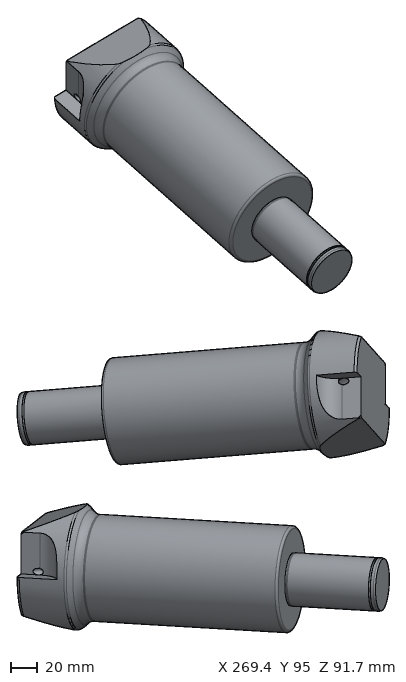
import cadquery as cq
import math

total_length = 269.38
rim_end = 37.5
neck_end = 49.9
body_start = 50.4
shank_length = 70
body_end = total_length - shank_length
undercut_end = 200.5
shank_start = 201.3
retaining_groove_start = 264.0
retaining_groove_end = 265.4

head_radius = 95 / 2
body_radius = 80 / 2
neck_radius = 79.8 / 2
shank_radius = 40 / 2
relief_radius = 39.5 / 2

rim_cone_angle = math.radians(45)
neck_blend_radius = 10.2
rim_round_radius = 2.4

front_chamfer_length = 2
front_chamfer_depth = 1.2
body_round_radius = 2
end_chamfer_length = 1.6
end_chamfer_depth = 0.5

flat_angle = math.radians(20)
flat_half_height = 31.57

pocket_wall_y = 35.2
pocket_straight_length = 14.8
pocket_corner_radius = 17

coolant_diameter = 5
coolant_x = 13.4
coolant_z = 2.5
coolant_angle = math.radians(38)
coolant_depth = 30


def turned_blank():
    """Head, neck, body and shank as one revolved profile."""
    blend_drop = neck_blend_radius * (1 - math.cos(rim_cone_angle))
    blend_run = neck_blend_radius * math.sin(rim_cone_angle)
    blend_start_radius = neck_radius + blend_drop
    blend_start = rim_end + (head_radius - blend_start_radius) / math.tan(rim_cone_angle)
    blend_end = blend_start + blend_run
    half_angle = rim_cone_angle / 2
    blend_mid = (
        blend_end - neck_blend_radius * math.sin(half_angle),
        neck_radius + neck_blend_radius * (1 - math.cos(half_angle)),
    )
    rim_round_start = rim_end - rim_round_radius * math.tan(half_angle)
    rim_round_center_radius = head_radius - rim_round_radius

    def rim_round_point(angle):
        return (
            rim_round_start + rim_round_radius * math.sin(angle),
            rim_round_center_radius + rim_round_radius * math.cos(angle),
        )

    rim_round_mid = rim_round_point(half_angle)
    rim_round_end = rim_round_point(rim_cone_angle)
    profile = (
        cq.Workplane("XY")
        .moveTo(0, 0)
        .lineTo(0, head_radius - front_chamfer_depth)
        .lineTo(front_chamfer_length, head_radius)
        .lineTo(rim_round_start, head_radius)
        .threePointArc(rim_round_mid, rim_round_end)
        .lineTo(blend_start, blend_start_radius)
        .threePointArc(blend_mid, (blend_end, neck_radius))
        .lineTo(neck_end, neck_radius)
        .lineTo(body_start, body_radius)
        .lineTo(body_end - body_round_radius, body_radius)
        .radiusArc((body_end, body_radius - body_round_radius), body_round_radius)
        .lineTo(body_end, relief_radius)
        .lineTo(undercut_end, relief_radius)
        .lineTo(shank_start, shank_radius)
        .lineTo(retaining_groove_start, shank_radius)
        .lineTo(retaining_groove_start, relief_radius)
        .lineTo(retaining_groove_end, relief_radius)
        .lineTo(retaining_groove_end, shank_radius)
        .lineTo(total_length - end_chamfer_length, shank_radius)
        .lineTo(total_length, shank_radius - end_chamfer_depth)
        .lineTo(total_length, 0)
        .close()
    )
    return profile.revolve(360, (0, 0, 0), (1, 0, 0))


def above_flat():
    """Wedge of material removed above the upper sloped flat."""
    reach = neck_end
    rise = reach * math.tan(flat_angle)
    wedge = (
        cq.Workplane("XZ")
        .moveTo(0, flat_half_height)
        .lineTo(reach, flat_half_height + rise)
        .lineTo(0, flat_half_height + rise)
        .close()
    )
    return wedge.extrude(head_radius, both=True)


def insert_pocket():
    """Upper half of the -Y side of the head, with a rounded inner end."""
    eighth_turn = math.radians(45)
    corner_center_y = -pocket_wall_y - pocket_corner_radius
    corner_mid = (
        pocket_straight_length + pocket_corner_radius * math.sin(eighth_turn),
        corner_center_y + pocket_corner_radius * math.cos(eighth_turn),
    )
    corner_end = (pocket_straight_length + pocket_corner_radius, corner_center_y)
    outline = (
        cq.Workplane("XY")
        .moveTo(0, -pocket_wall_y)
        .lineTo(pocket_straight_length, -pocket_wall_y)
        .threePointArc(corner_mid, corner_end)
        .lineTo(0, corner_center_y)
        .close()
    )
    return outline.extrude(head_radius)


def coolant_hole():
    """Slanted hole running inward and back from the pocket wall."""
    direction = cq.Vector(math.cos(coolant_angle), math.sin(coolant_angle), 0)
    mouth = cq.Vector(coolant_x, -pocket_wall_y, coolant_z)
    start = mouth - direction * coolant_diameter
    radius = coolant_diameter / 2
    hole = cq.Solid.makeCylinder(radius, coolant_depth + coolant_diameter, start, direction)
    return cq.Workplane(hole)


def opposite(shape):
    """Half-turn about the X axis."""
    return shape.rotate((0, 0, 0), (1, 0, 0), 180)


result = turned_blank()
for cutter in (above_flat(), insert_pocket(), coolant_hole()):
    result = result.cut(cutter).cut(opposite(cutter))